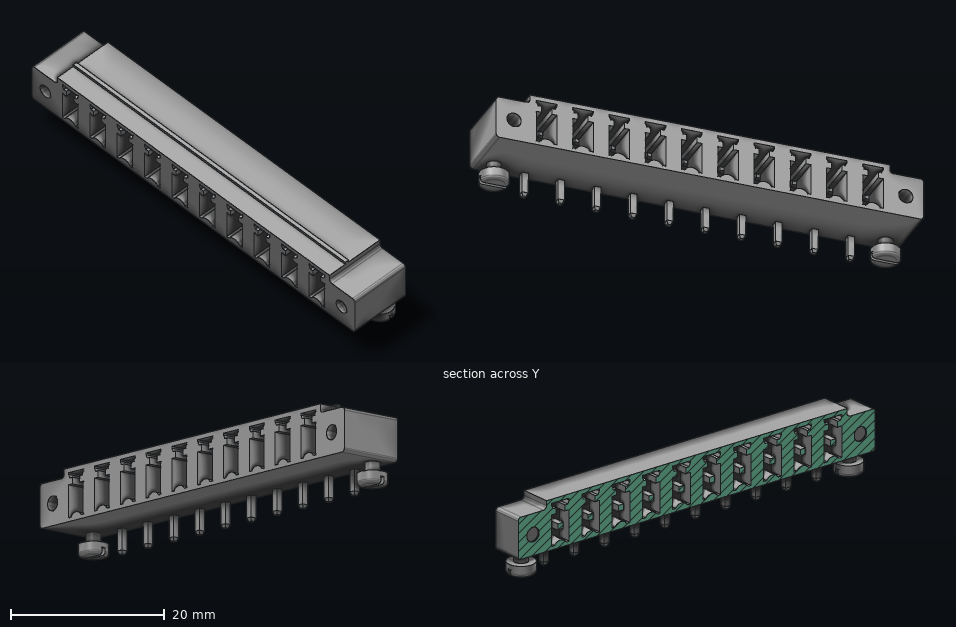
import cadquery as cq


length = 59.9
depth = 9.2
ear_height = 6.0
body_length = 50.45
body_height = 7.2
edge_radius = 0.5
front_y = -depth / 2

rib_width = 0.6
rib_height = 0.35
rib_y = -1.45

socket_count = 10
socket_row = 45.7
pitch = socket_row / (socket_count - 1)
socket_depth = 6.6
socket_half_width = 1.45
socket_floor = 0.55
shoulder_z = 4.9
neck_half_width = 0.7
neck_top = 5.8
slot_half_width = 1.2
slot_straight_z = 6.3
socket_top = 6.55
ridge_half_width = 1.0
ridge_height = 0.55

pin_width = 0.9
pin_tip_width = 0.55
pin_tip_length = 0.5
pin_y = 3.4
pin_z = 3.0
pin_bottom = -3.4
pin_front_setback = 2.1

ear_x = 27.45
hole_diameter = 2.0
hole_depth = 4.8
hole_z = ear_height / 2
screw_y = 2.45
shank_diameter = 2.0
head_diameter = 4.0
head_top = -1.45
head_bottom = -3.1
head_radius = 0.5
drive_slot_width = 0.55
drive_slot_depth = 0.95

socket_positions = [i * pitch - socket_row / 2 for i in range(socket_count)]


def make_housing():
    """Low bar with rounded ends, a taller middle, and fillets where they meet."""
    ears = cq.Workplane("XY").box(length, depth, ear_height, centered=(True, True, False))
    ears = ears.edges("|Y").fillet(edge_radius)
    body = cq.Workplane("XY").box(body_length, depth, body_height, centered=(True, True, False))
    reach = edge_radius / 2
    inner_corners = cq.selectors.BoxSelector(
        (-body_length / 2 - reach, -depth, ear_height - reach),
        (body_length / 2 + reach, depth, ear_height + reach),
    )
    housing = ears.union(body).edges("|Y").edges(inner_corners).fillet(edge_radius)
    rib = (
        cq.Workplane("XY", origin=(0, rib_y, body_height))
        .box(body_length, rib_width, rib_height, centered=(True, True, False))
    )
    return housing.union(rib)


def make_socket(x):
    """Keyed opening: wide chamber, narrow neck, dovetail slot, and a rounded floor ridge."""
    right_side = [
        (socket_half_width, socket_floor),
        (socket_half_width, shoulder_z),
        (neck_half_width, shoulder_z),
        (neck_half_width, neck_top),
        (slot_half_width, neck_top),
        (socket_half_width, slot_straight_z),
        (socket_half_width, socket_top),
    ]
    left_side = [(-side, z) for side, z in reversed(right_side)]
    profile = (
        cq.Workplane("XZ", origin=(x, front_y, 0))
        .moveTo(-ridge_half_width, socket_floor)
        .threePointArc((0, socket_floor + ridge_height), (ridge_half_width, socket_floor))
    )
    for point in right_side + left_side:
        profile = profile.lineTo(*point)
    return profile.close().extrude(-socket_depth)


def make_bar(start, direction, bar_length):
    """Square bar from a start point along a direction, ending in a tapered tip."""
    straight_length = bar_length - pin_tip_length
    plane = cq.Plane(origin=start, xDir=(1, 0, 0), normal=direction)
    straight = cq.Workplane(plane).rect(pin_width, pin_width).extrude(straight_length)
    tip = (
        cq.Workplane(plane)
        .workplane(offset=straight_length)
        .rect(pin_width, pin_width)
        .workplane(offset=pin_tip_length)
        .rect(pin_tip_width, pin_tip_width)
        .loft()
    )
    return straight.union(tip)


def make_pin(x):
    """Right-angle contact: one leg toward the mating face, one leg downward."""
    contact_start = pin_y + pin_width / 2
    tail_start = pin_z + pin_width / 2
    contact_tip = front_y + pin_front_setback
    contact = make_bar((x, contact_start, pin_z), (0, -1, 0), contact_start - contact_tip)
    tail = make_bar((x, pin_y, tail_start), (0, 0, -1), tail_start - pin_bottom)
    return contact.union(tail)


def make_screw(x):
    """Round shank with a slotted head below the ear."""
    shank = (
        cq.Workplane("XY", origin=(x, screw_y, head_top))
        .circle(shank_diameter / 2)
        .extrude(hole_z - head_top)
    )
    head = (
        cq.Workplane("XY", origin=(x, screw_y, head_bottom))
        .circle(head_diameter / 2)
        .extrude(head_top - head_bottom)
        .faces("<Z")
        .edges()
        .fillet(head_radius)
    )
    drive_slot = (
        cq.Workplane("XY", origin=(x, screw_y, head_bottom))
        .box(head_diameter, drive_slot_width, drive_slot_depth, centered=(True, True, False))
    )
    return shank.union(head.cut(drive_slot))


def make_ear_hole(x):
    """Blind round hole in the mating face."""
    return (
        cq.Workplane("XZ", origin=(x, front_y, hole_z))
        .circle(hole_diameter / 2)
        .extrude(-hole_depth)
    )


result = make_housing()
for x in socket_positions:
    result = result.cut(make_socket(x)).union(make_pin(x))
for x in (-ear_x, ear_x):
    result = result.cut(make_ear_hole(x)).union(make_screw(x))